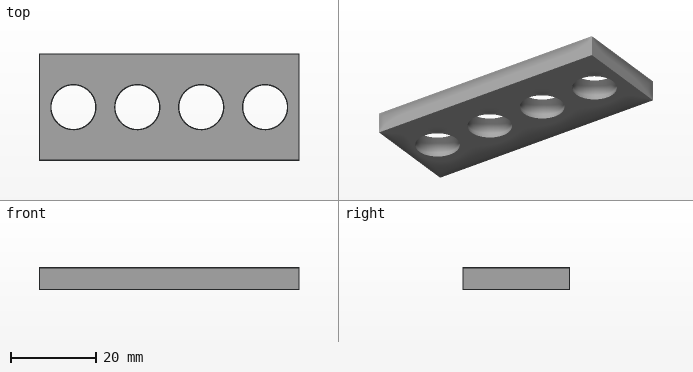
import cadquery as cq

plate_length = 61.0
plate_width = 25.0
plate_thickness = 5.2

hole_count = 4
hole_diameter = 10.5
hole_pitch = 15.0


def make_plate():
    """Rectangular plate centred on the origin."""
    return cq.Workplane("XY").box(plate_length, plate_width, plate_thickness)


def drill_hole_row(plate):
    """Evenly spaced through holes, centred on the top face."""
    return (
        plate.faces(">Z")
        .workplane()
        .rarray(hole_pitch, hole_pitch, hole_count, 1)
        .hole(hole_diameter)
    )


result = drill_hole_row(make_plate())